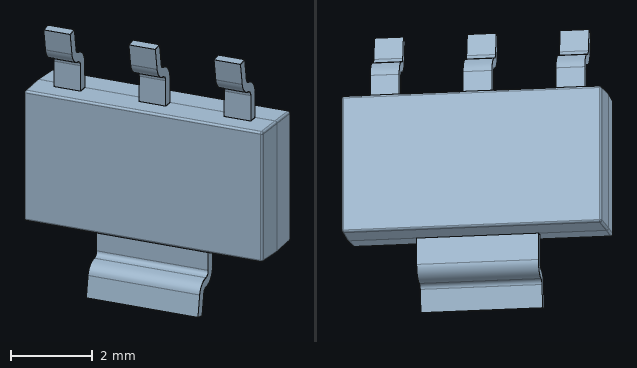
import cadquery as cq
import math

body_width = 6.5
body_height = 3.465
back_depth = 0.84
front_depth = 0.775
draft_angle = 1.7
edge_radius = 0.055

overall_height = 6.93
lead_thickness = 0.25
inner_bend_radius = 0.145
outer_bend_radius = inner_bend_radius + lead_thickness
bend_angle = 85.0
foot_angle = 10.0
foot_length = 0.57
lead_embed = 0.345

pin_width = 0.72
pin_pitch = 2.3
pin_count = 3
tab_width = 3.02


def shift(point, angle, distance):
    """Move a (Y, Z) point along a direction measured from +Z towards -Y."""
    y, z = point
    turn = math.radians(angle)
    return (y - distance * math.sin(turn), z + distance * math.cos(turn))


def make_body_half(depth):
    """Tapered half extruded from the parting plane towards -Y, with rounded edges."""
    half = cq.Workplane("XZ").rect(body_width, body_height).extrude(depth, taper=draft_angle)
    return half.edges("not(>Y)").fillet(edge_radius)


def make_lead(width):
    """Upward lead of the given width, centred on X = 0, with its tip at the overall height."""
    foot_height = foot_length * math.cos(math.radians(foot_angle))
    bend_sine = math.sin(math.radians(bend_angle))
    foot_sine = math.sin(math.radians(foot_angle))
    center_radius = (inner_bend_radius + outer_bend_radius) / 2
    bends_height = center_radius * (2 * bend_sine - foot_sine)
    tip_rise = lead_thickness / 2 * foot_sine
    bend_start = overall_height / 2 - foot_height - bends_height - tip_rise
    root = body_height / 2 - lead_embed

    first_center = (-outer_bend_radius, bend_start)
    bend_joint = shift(first_center, bend_angle - 90, outer_bend_radius)
    second_center = shift(bend_joint, bend_angle - 90, inner_bend_radius)
    mid_first = bend_angle / 2
    mid_second = (bend_angle + foot_angle) / 2

    def first_bend(angle, radius):
        return shift(first_center, angle - 90, radius)

    def second_bend(angle, radius):
        return shift(second_center, angle + 90, radius)

    back_foot = second_bend(foot_angle, inner_bend_radius)
    front_foot = second_bend(foot_angle, outer_bend_radius)
    return (
        cq.Workplane("YZ")
        .moveTo(0, root)
        .lineTo(0, bend_start)
        .threePointArc(first_bend(mid_first, outer_bend_radius), bend_joint)
        .threePointArc(second_bend(mid_second, inner_bend_radius), back_foot)
        .lineTo(*shift(back_foot, foot_angle, foot_length))
        .lineTo(*shift(front_foot, foot_angle, foot_length))
        .lineTo(*front_foot)
        .threePointArc(
            second_bend(mid_second, outer_bend_radius),
            second_bend(bend_angle, outer_bend_radius),
        )
        .threePointArc(
            first_bend(mid_first, inner_bend_radius),
            first_bend(0, inner_bend_radius),
        )
        .lineTo(-lead_thickness, root)
        .close()
        .extrude(width / 2, both=True)
    )


front_half = make_body_half(front_depth)
back_half = make_body_half(back_depth).mirror("XZ")
result = front_half.union(back_half)

pin = make_lead(pin_width)
for index in range(pin_count):
    pin_x = (index - (pin_count - 1) / 2) * pin_pitch
    result = result.union(pin.translate((pin_x, 0, 0)))

result = result.union(make_lead(tab_width).mirror("XY"))